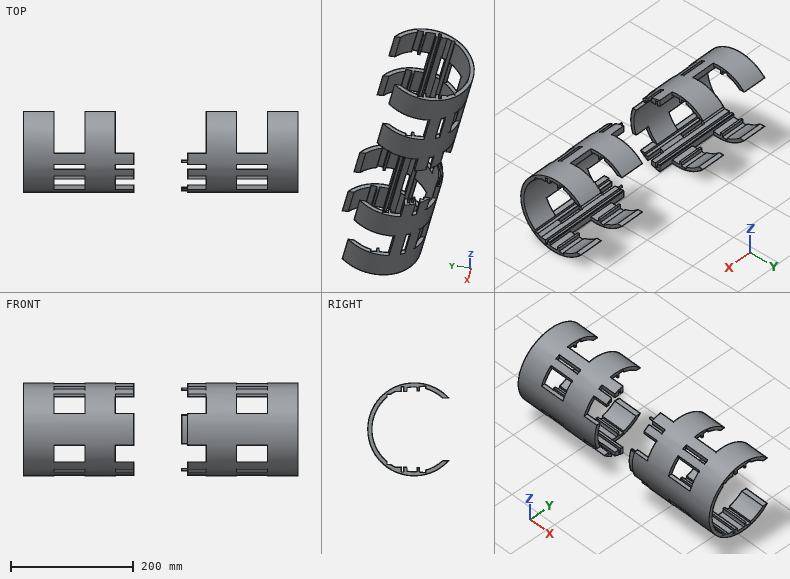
import cadquery as cq
import math

outer_radius = 76.0
inner_radius = 69.0
lip_height = 51.0

band_length = 50.0
finger_length = 30.0
overall_length = 447.91
tongue_length = 10.0
shell_length = 3 * band_length + finger_length

rail_start_y = -11.7
rail_height = 61.5
rail_corner_chamfer = 1.2
rail_slot_near_y = -17.2
rail_slot_far_y = -21.2
rail_slot_top = 69.2

notch_top = 57.3
notch_far_y = -44.2

rib_near_y = 4.6
rib_far_y = 8.4
rib_bottom = 62.2
rib_root_radius = 1.6
groove_end_y = 18.4
groove_shallow_z = 69.4
groove_deep_z = 70.4

slot_start_y = -30.6
slot_end_y = -37.9
window_low_z = 26.3
window_high_z = 53.0
window_relief_y = -49.4

tongue_inner_radius = 71.1
tongue_outer_radius = 73.5
tongue_half_height = 24.0
tongue_chamfer = 1.4
pin_diameter = 4.0
pin_y = -25.4
pin_z = 65.7


def on_circle(radius, offset):
    """Positive coordinate of the point on a circle whose other coordinate is `offset`."""
    return math.sqrt(radius**2 - offset**2)


def prism(points, length):
    """Extrude a Y-Z polygon along +X from X = 0."""
    return cq.Workplane("YZ").polyline(points).close().extrude(length)


def block(y_low, y_high, z_low, z_high, length):
    """Box given by its Y and Z limits, running along +X from X = 0."""
    return prism([(y_low, z_low), (y_high, z_low), (y_high, z_high), (y_low, z_high)], length)


def wall(length):
    """Tube wall, open on its +Y side between two flat lips."""
    lip_tip_y = on_circle(outer_radius, lip_height)
    lip_root_y = on_circle(inner_radius, lip_height)
    mid_y = lip_tip_y / 2
    mid_z = on_circle(outer_radius, mid_y)
    return (
        cq.Workplane("YZ")
        .moveTo(lip_root_y, lip_height)
        .lineTo(lip_tip_y, lip_height)
        .threePointArc((mid_y, mid_z), (0, outer_radius))
        .threePointArc((-outer_radius, 0), (0, -outer_radius))
        .threePointArc((mid_y, -mid_z), (lip_tip_y, -lip_height))
        .lineTo(lip_root_y, -lip_height)
        .threePointArc((-inner_radius, 0), (lip_root_y, lip_height))
        .close()
        .extrude(length)
    )


def rail(length):
    """Thickening under the upper wall, flat below, ending where it meets the inner wall."""
    end_y = -on_circle(inner_radius, rail_height)
    crown_radius = (inner_radius + outer_radius) / 2
    blank = block(end_y, rail_start_y, rail_height, crown_radius, length)
    blank = blank.edges("|X and >Y and <Z").chamfer(rail_corner_chamfer)
    return blank.intersect(cq.Workplane("YZ").circle(crown_radius).extrude(length))


def rib(length):
    """Thin rib hanging from the upper wall, with a rounded root on its rail side."""
    root_z = on_circle(inner_radius, rib_near_y)
    fillet_y = rib_near_y - rib_root_radius
    fillet_z = root_z - rib_root_radius
    mid = rib_root_radius * math.sqrt(0.5)
    return (
        cq.Workplane("YZ")
        .moveTo(rib_far_y, rib_bottom)
        .lineTo(rib_far_y, groove_deep_z)
        .lineTo(fillet_y, groove_deep_z)
        .lineTo(fillet_y, root_z)
        .threePointArc((fillet_y + mid, fillet_z + mid), (rib_near_y, fillet_z))
        .lineTo(rib_near_y, rib_bottom)
        .close()
        .extrude(length)
    )


def groove(length):
    """Undercut between the rib and the lip side of the wall, deepest away from the rib."""
    points = [
        (rib_far_y, rib_bottom),
        (rib_far_y, groove_shallow_z),
        (groove_end_y, groove_deep_z),
        (groove_end_y, rib_bottom),
    ]
    return prism(points, length)


def both_sides(upper):
    """The upper shape together with its mirror image below."""
    return upper.union(upper.mirror("XY"))


def profile(length):
    """Full cross-section of a shell, symmetric about the XY plane."""
    rail_slot = block(rail_slot_far_y, rail_slot_near_y, 0, rail_slot_top, length)
    notch_near_y = -on_circle(inner_radius, notch_top)
    notch_bottom = on_circle(inner_radius, notch_far_y)
    notch = block(notch_far_y, notch_near_y, notch_bottom, notch_top, length)
    body = wall(length).union(both_sides(rail(length)))
    body = body.cut(both_sides(rail_slot.union(notch).union(groove(length))))
    return body.union(both_sides(rib(length)))


def openings(length):
    """Everything removed from the wall between two bands."""
    beyond = 2 * outer_radius
    hinge_side = block(rail_start_y, beyond, -beyond, beyond, length)

    slots = block(slot_end_y, slot_start_y, -beyond, beyond, length)

    windows = both_sides(block(-beyond, 0, window_low_z, window_high_z, length))
    relief = block(-beyond, window_relief_y, window_low_z, beyond, length)
    return hinge_side.union(slots).union(windows).union(relief)


def shell():
    """Two bands and a set of fingers, starting at X = 0 and running along +X."""
    body = profile(shell_length)
    body = body.cut(openings(band_length).translate((band_length, 0, 0)))
    return body.cut(openings(finger_length).translate((3 * band_length, 0, 0)))


def plug_features():
    """Curved tongue and two round pins, running along +X from X = 0."""
    ring = (
        cq.Workplane("YZ").circle(tongue_outer_radius).circle(tongue_inner_radius).extrude(tongue_length)
    )
    tongue_zone = block(-outer_radius, 0, -tongue_half_height, tongue_half_height, tongue_length)
    pins = (
        cq.Workplane("YZ")
        .pushPoints([(pin_y, pin_z), (pin_y, -pin_z)])
        .circle(pin_diameter / 2)
        .extrude(tongue_length)
    )
    tongue = ring.intersect(tongue_zone)
    for end_face in (">Z", "<Z"):
        tongue = tongue.faces(end_face).edges("|X and <Y").chamfer(tongue_chamfer)
    return tongue.union(pins)


socket_shell = shell()

plug_shell = shell().union(plug_features().translate((shell_length, 0, 0)))
plug_shell = plug_shell.mirror("YZ").translate((overall_length, 0, 0))

result = cq.Compound.makeCompound([socket_shell.val(), plug_shell.val()])